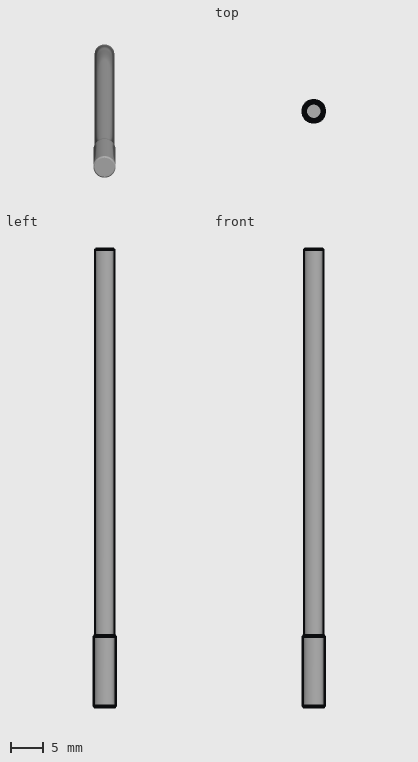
import cadquery as cq

TOTAL_LENGTH = 70.0
SHANK_DIAMETER = 3.0
HEAD_DIAMETER = 3.4
HEAD_LENGTH = 11.0
SHANK_CHAMFER = 0.3
HEAD_CHAMFER_HEIGHT = 0.25

HEAD_CHAMFER_WIDTH = (HEAD_DIAMETER - SHANK_DIAMETER) / 2
SHANK_LENGTH = TOTAL_LENGTH - HEAD_LENGTH


def make_head():
    """Thicker lower cylinder, standing on Z = 0, with both rims bevelled."""
    return (
        cq.Workplane("XY")
        .circle(HEAD_DIAMETER / 2)
        .extrude(HEAD_LENGTH)
        .faces("<Z or >Z")
        .chamfer(HEAD_CHAMFER_HEIGHT, HEAD_CHAMFER_WIDTH)
    )


def make_shank():
    """Long slim rod standing on the head, with its top rim bevelled."""
    return (
        cq.Workplane("XY", origin=(0, 0, HEAD_LENGTH))
        .circle(SHANK_DIAMETER / 2)
        .extrude(SHANK_LENGTH)
        .faces(">Z")
        .chamfer(SHANK_CHAMFER)
    )


head = make_head()
shank = make_shank()

result = cq.Compound.makeCompound([head.val(), shank.val()])